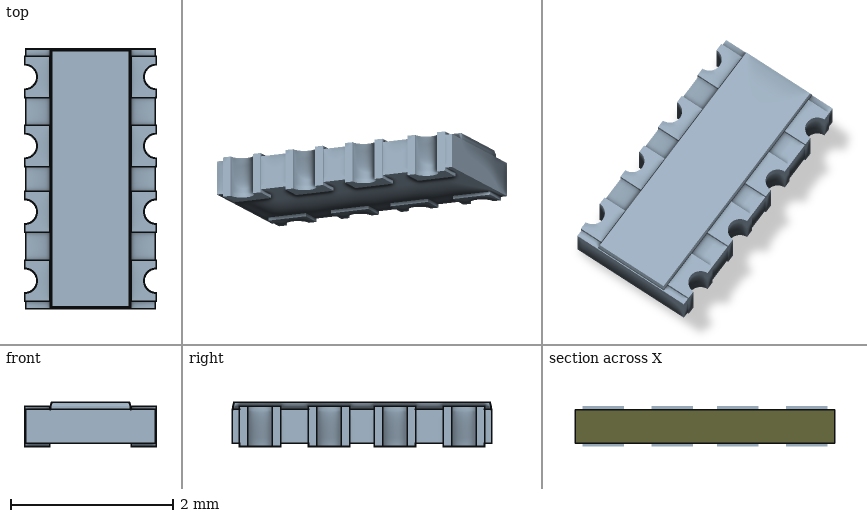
import cadquery as cq

body_width = 1.6
body_length = 3.2
body_height = 0.42

plating_side = 0.01
plating_face = 0.04
terminal_length = 0.51
terminal_reach = 0.31
inner_terminal_y = 0.405
outer_terminal_y = 1.255
notch_radius = 0.15

coating_width = 0.986
coating_length = 3.18
coating_bevel = 0.015
bevel_height = 0.05

body_bottom = plating_face
body_top = body_bottom + body_height
terminal_height = body_height + 2 * plating_face
terminal_edge_x = body_width / 2 + plating_side
terminal_rows = (-outer_terminal_y, -inner_terminal_y, inner_terminal_y, outer_terminal_y)
terminal_places = [(side, y) for side in (-1, 1) for y in terminal_rows]


def block(width, length, height, x, y, bottom):
    """Box centred on (x, y) and standing on the level `bottom`."""
    return (
        cq.Workplane("XY")
        .box(width, length, height, centered=(True, True, False))
        .translate((x, y, bottom))
    )


def make_terminal(side, y):
    """Plating on the top, bottom and outer side of the body, as a block joined to it."""
    center_x = side * (terminal_edge_x - terminal_reach / 2)
    return block(terminal_reach, terminal_length, terminal_height, center_x, y, 0)


def make_notch(side, y):
    """Round cutter for the half-round notch in a terminal, through the full height."""
    return (
        cq.Workplane("XY")
        .center(side * terminal_edge_x, y)
        .circle(notch_radius)
        .extrude(terminal_height)
    )


def make_coating():
    """Flat layer level with the terminals, topped by a layer with bevelled sides."""
    base = block(coating_width, coating_length, plating_face, 0, 0, body_top)
    top_width = coating_width - 2 * coating_bevel
    top_length = coating_length - 2 * coating_bevel
    bevelled = (
        cq.Workplane("XY", origin=(0, 0, terminal_height))
        .rect(coating_width, coating_length)
        .workplane(offset=bevel_height)
        .rect(top_width, top_length)
        .loft(ruled=True)
    )
    return base.union(bevelled)


result = block(body_width, body_length, body_height, 0, 0, body_bottom)
for side, y in terminal_places:
    result = result.union(make_terminal(side, y))
for side, y in terminal_places:
    result = result.cut(make_notch(side, y))
result = result.union(make_coating())